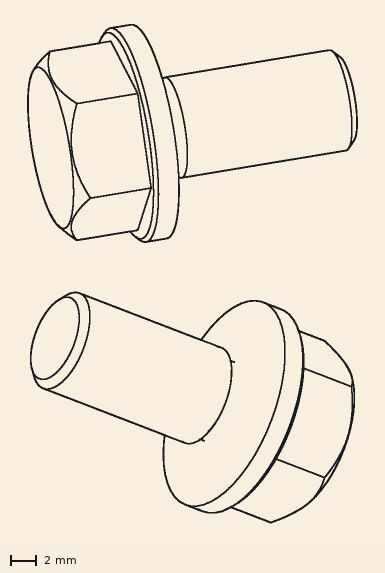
import cadquery as cq
import math

total_length = 24.0
head_height = 8.0
flange_thickness = 2.0
undercut_length = 2.0
tip_chamfer = 0.6

flange_diameter = 17.0
shank_diameter = 8.0
undercut_diameter = 6.6
across_flats = 13.0
head_face_diameter = 12.8

flange_chamfer = 0.3
undercut_radius = 0.5
undercut_taper_angle = 60.0
head_chamfer_angle = 43.0

shank_radius = shank_diameter / 2
neck_radius = undercut_diameter / 2
flange_radius = flange_diameter / 2
face_radius = head_face_diameter / 2
across_corners = across_flats / math.cos(math.radians(30))

flange_bottom = -flange_thickness
head_face = -head_height
tip = total_length - head_height


def make_hex_head():
    """Hexagon with corners on +X and -X, its outer face trimmed by a cone."""
    height = head_height - flange_thickness
    hexagon = (
        cq.Workplane("XZ", origin=(0, flange_bottom, 0))
        .polygon(6, across_corners)
        .extrude(height)
    )
    cone_rise = (flange_radius - face_radius) * math.tan(math.radians(head_chamfer_angle))
    envelope = (
        cq.Workplane("XY")
        .moveTo(0, head_face)
        .lineTo(face_radius, head_face)
        .lineTo(flange_radius, head_face + cone_rise)
        .lineTo(flange_radius, flange_bottom)
        .lineTo(0, flange_bottom)
        .close()
        .revolve(360, (0, 0, 0), (0, 1, 0))
    )
    return hexagon.intersect(envelope)


def make_flange_and_shank():
    """Turned flange, undercut with rounded ends, and shank with a chamfered tip."""
    taper_angle = math.radians(undercut_taper_angle)
    arc_rise = undercut_radius * math.sin(taper_angle)
    arc_width = undercut_radius * (1 - math.cos(taper_angle))
    taper_width = shank_radius - neck_radius - arc_width
    taper_start = undercut_length - taper_width / math.tan(taper_angle)
    half_angle = taper_angle / 2
    arc_middle = (
        neck_radius + undercut_radius * (1 - math.cos(half_angle)),
        taper_start - arc_rise + undercut_radius * math.sin(half_angle),
    )
    diagonal_inset = undercut_radius * (1 - math.sqrt(0.5))
    return (
        cq.Workplane("XY")
        .moveTo(0, flange_bottom)
        .lineTo(flange_radius - flange_chamfer, flange_bottom)
        .lineTo(flange_radius, flange_bottom + flange_chamfer)
        .lineTo(flange_radius, 0)
        .lineTo(neck_radius + undercut_radius, 0)
        .threePointArc((neck_radius + diagonal_inset, diagonal_inset), (neck_radius, undercut_radius))
        .lineTo(neck_radius, taper_start - arc_rise)
        .threePointArc(arc_middle, (neck_radius + arc_width, taper_start))
        .lineTo(shank_radius, undercut_length)
        .lineTo(shank_radius, tip - tip_chamfer)
        .lineTo(shank_radius - tip_chamfer, tip)
        .lineTo(0, tip)
        .close()
        .revolve(360, (0, 0, 0), (0, 1, 0))
    )


result = make_flange_and_shank().union(make_hex_head())